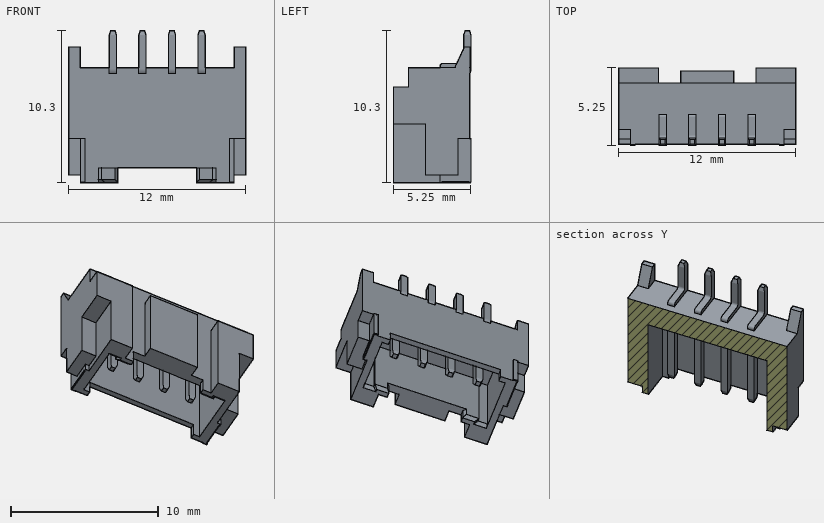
import cadquery as cq

LENGTH = 12.0
DEPTH = 5.25
BODY_TOP = 7.8
BODY_FRONT = 0.08
BODY_BACK = 4.25

TOWER_WIDTH = 0.8
TOWER_TOP = 9.2
TOWER_ROOT_BACK = 1.1
TOWER_TIP_BACK = 0.45

BACK_BLOCK_TOP = 6.5
CORNER_BLOCK_WIDTH = 2.71
CENTRE_BLOCK_WIDTH = 3.6
CENTRE_BLOCK_BACK = 5.05

BASE_INSET = 1.08
PLATE_FRONT = 0.89
PLATE_BACK = 3.07
PLATE_BOTTOM = 0.53
FRONT_RELIEF_TOP = 3.0
BACK_RELIEF_TOP = 4.0

RIB_WIDTH = 0.31
RIB_BACK = 2.1
RIB_OUTER = LENGTH / 2 - TOWER_WIDTH
RIB_CHAMFER_HEIGHT = 0.07
RIB_CHAMFER_DEPTH = 0.05
RIB_RELIEF_MARGIN = 0.15
RIB_RELIEF_HEIGHT = 0.1
RIB_RELIEF_DEPTH = 0.05

CAVITY_HALF_WIDTH = 4.44
CAVITY_FRONT = 0.45
CAVITY_BACK = 3.7
CAVITY_TOP = 6.0
POCKET_START = 3.75
POCKET_DEPTH = 0.19
MOUTH_CHAMFER = 0.23
FRONT_NOTCH_WIDTH = 7.97
BACK_NOTCH_WIDTH = 5.33
BACK_NOTCH_BEVEL = 0.19
NOTCH_HEIGHT = 1.02

PIN_COUNT = 4
PIN_PITCH = LENGTH / 6
PIN_WIDTH = 0.5
PIN_TOP = 10.3
PIN_TIP_LENGTH = 0.3
PIN_TIP_WIDTH = 0.31
PIN_BAR_TOP = 8.09
PIN_BAR_BACK = 2.1
PIN_BEND_START = 7.69
PIN_BEND_RADIUS = 0.5
PIN_EDGE_RADIUS = 0.19
PIN_CONTACT_END = 1.5


def block(x_start, x_end, y_start, y_end, z_start, z_end):
    """Box given by its limits along each axis."""
    size = (x_end - x_start, y_end - y_start, z_end - z_start)
    return cq.Workplane("XY").box(*size, centered=False).translate((x_start, y_start, z_start))


def centred_block(width, y_start, y_end, z_start, z_end):
    """Box centred on X."""
    return block(-width / 2, width / 2, y_start, y_end, z_start, z_end)


def both_ends(shape):
    """The shape together with its mirror image about X = 0."""
    return shape.union(shape.mirror("YZ"))


def make_shell():
    """Solid housing with its towers and back blocks."""
    half = LENGTH / 2
    tower = (
        cq.Workplane("YZ", origin=(half - TOWER_WIDTH, 0, 0))
        .moveTo(BODY_FRONT, BODY_TOP)
        .lineTo(BODY_FRONT, TOWER_TOP)
        .lineTo(TOWER_TIP_BACK, TOWER_TOP)
        .lineTo(TOWER_ROOT_BACK, BODY_TOP)
        .close()
        .extrude(TOWER_WIDTH)
    )
    corner_block = block(half - CORNER_BLOCK_WIDTH, half, BODY_BACK, DEPTH, 0, BACK_BLOCK_TOP)
    centre_block = centred_block(
        CENTRE_BLOCK_WIDTH, BODY_BACK, CENTRE_BLOCK_BACK, NOTCH_HEIGHT, BACK_BLOCK_TOP
    )
    body = centred_block(LENGTH, BODY_FRONT, BODY_BACK, 0, BODY_TOP)
    return body.union(both_ends(tower)).union(both_ends(corner_block)).union(centre_block)


def make_end_reliefs():
    """Material removed around the end plates, at both ends."""
    half = LENGTH / 2
    inner = half - BASE_INSET
    front = block(inner, half, 0, PLATE_FRONT, 0, FRONT_RELIEF_TOP)
    back = block(inner, half, PLATE_BACK, DEPTH, 0, BACK_RELIEF_TOP)
    below = block(inner, half, 0, DEPTH, 0, PLATE_BOTTOM)
    return both_ends(front.union(back).union(below))


def make_ribs():
    """Slim front ribs, each with a chamfered toe and a shallow relief on the outer side."""
    rib = block(RIB_OUTER - RIB_WIDTH, RIB_OUTER, 0, RIB_BACK, 0, FRONT_RELIEF_TOP)
    chamfer_cut = (
        cq.Workplane("YZ", origin=(RIB_OUTER - RIB_WIDTH, 0, 0))
        .lineTo(RIB_CHAMFER_DEPTH, 0)
        .lineTo(0, RIB_CHAMFER_HEIGHT)
        .close()
        .extrude(RIB_WIDTH)
    )
    relief = block(
        RIB_OUTER - RIB_RELIEF_DEPTH,
        RIB_OUTER,
        RIB_RELIEF_MARGIN,
        RIB_BACK - RIB_RELIEF_MARGIN,
        0,
        RIB_RELIEF_HEIGHT,
    )
    rib = rib.cut(chamfer_cut).cut(relief)
    return both_ends(rib)


def make_cavity_section(x_start, x_end, back, flared_edges):
    """Straight recess from the base, with a 45-degree lead-in on the chosen sides of its mouth."""
    straight = block(x_start, x_end, CAVITY_FRONT, back, 0, CAVITY_TOP)
    flare_start = x_start - MOUTH_CHAMFER if "<X" in flared_edges else x_start
    flare = block(
        flare_start, x_end, CAVITY_FRONT, back + MOUTH_CHAMFER, -MOUTH_CHAMFER, MOUTH_CHAMFER
    )
    flare = flare.faces(">Z").edges(flared_edges).chamfer(MOUTH_CHAMFER)
    return straight.union(flare)


def make_back_notch():
    """Notch through the back wall, bevelled where it leaves the cavity."""
    half = BACK_NOTCH_WIDTH / 2
    flared_half = half + BACK_NOTCH_BEVEL
    bevel_end = CAVITY_BACK + BACK_NOTCH_BEVEL
    outline = [
        (-flared_half, CAVITY_BACK),
        (-half, bevel_end),
        (-half, DEPTH),
        (half, DEPTH),
        (half, bevel_end),
        (flared_half, CAVITY_BACK),
    ]
    return cq.Workplane("XY").polyline(outline).close().extrude(NOTCH_HEIGHT)


def make_cavity():
    """Mating cavity with deeper end pockets and a notch through the front and back walls."""
    main = make_cavity_section(-CAVITY_HALF_WIDTH, CAVITY_HALF_WIDTH, CAVITY_BACK, ">Y")
    pocket = make_cavity_section(
        POCKET_START, CAVITY_HALF_WIDTH, CAVITY_BACK + POCKET_DEPTH, ">Y or <X"
    )
    front_notch = centred_block(FRONT_NOTCH_WIDTH, 0, CAVITY_FRONT, 0, NOTCH_HEIGHT)
    return main.union(both_ends(pocket)).union(front_notch).union(make_back_notch())


def make_tip(x, y, z, length):
    """Pin tip tapering from the pin section at Z = z; a negative length points down."""
    return (
        cq.Workplane("XY", origin=(x, y, z))
        .rect(PIN_WIDTH, PIN_WIDTH)
        .workplane(offset=length)
        .rect(PIN_TIP_WIDTH, PIN_TIP_WIDTH)
        .loft()
    )


def make_pin(x):
    """Square pin: contact in the cavity, bar across the top, and an upright at the front."""
    left = x - PIN_WIDTH / 2
    right = x + PIN_WIDTH / 2
    tip_base = PIN_TOP - PIN_TIP_LENGTH
    contact_base = PIN_CONTACT_END + PIN_TIP_LENGTH
    contact_front = PIN_BAR_BACK - PIN_WIDTH
    bar_bottom = PIN_BEND_START - PIN_BEND_RADIUS
    bar = block(left, right, 0, PIN_BAR_BACK, bar_bottom, PIN_BAR_TOP)
    upright = block(left, right, 0, PIN_WIDTH, bar_bottom, tip_base)
    bent = bar.union(upright).clean()
    bent = bent.edges("|X and <Y and <Z").fillet(PIN_BEND_RADIUS)
    inner_corner = cq.selectors.NearestToPointSelector((x, PIN_WIDTH, PIN_BAR_TOP))
    bent = bent.edges(inner_corner).fillet(PIN_EDGE_RADIUS)
    outer_corner = cq.selectors.NearestToPointSelector((x, PIN_BAR_BACK, PIN_BAR_TOP))
    bent = bent.edges(outer_corner).fillet(PIN_EDGE_RADIUS)
    contact = block(left, right, contact_front, PIN_BAR_BACK, contact_base, bar_bottom)
    top_tip = make_tip(x, PIN_WIDTH / 2, tip_base, PIN_TIP_LENGTH)
    contact_tip = make_tip(x, PIN_BAR_BACK - PIN_WIDTH / 2, contact_base, -PIN_TIP_LENGTH)
    return bent.union(contact).union(top_tip).union(contact_tip)


result = make_shell().cut(make_end_reliefs()).union(make_ribs()).cut(make_cavity())
for index in range(PIN_COUNT):
    result = result.union(make_pin((index - (PIN_COUNT - 1) / 2) * PIN_PITCH))